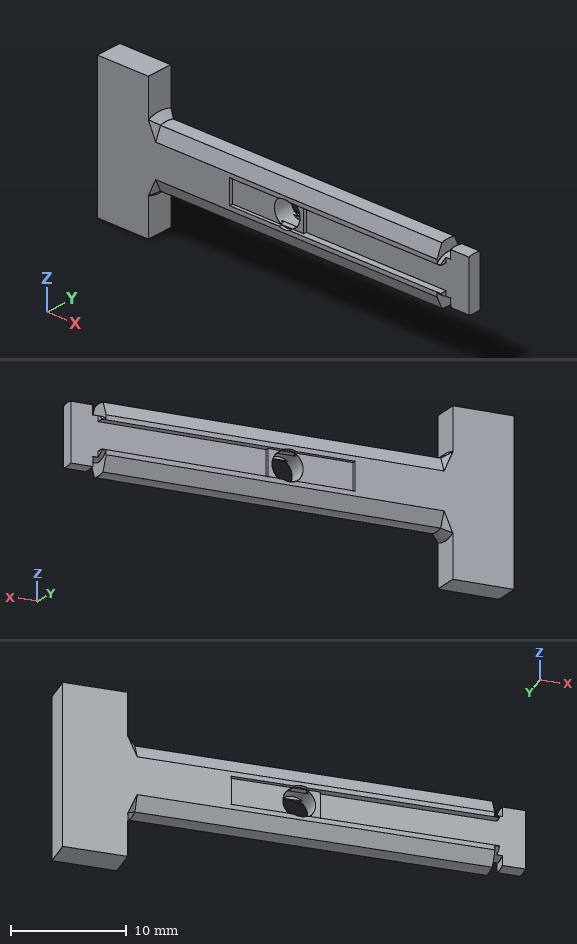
import cadquery as cq
import math

length = 42.55
thickness = 2.95
half_thickness = thickness / 2

plate_length = 5.95
plate_width = 15.9

shank_start = 6.8
shank_end = 39.5
shank_radius = 3.3
root_radius = 4.0
flat_half_width = 1.85
crown_half_thickness = 0.83

neck_radius = 2.05
neck_end = 39.95
head_start = 40.45
head_radius = 2.95
web_thickness = 1.5

groove_width = 2.72
shallow_groove_start = 15.4
shallow_groove_depth = 0.4
deep_groove_start = 23.65
deep_groove_depth = (thickness - web_thickness) / 2
hole_x = 21.75
hole_diameter = 3.0
lip_half_height = 1.2
lip_length = 0.35


def width_at(radius, y):
    """Half width of a round section at a given distance from its middle plane."""
    return math.sqrt(radius**2 - y**2)


def block(start, end, y_size, z_size):
    """Box from one X station to another, centred on the axis in Y and Z."""
    return (
        cq.Workplane("XY", origin=(start, 0, 0))
        .box(end - start, y_size, z_size, centered=(False, True, True))
    )


def flattened_cylinder(start, end, radius, y_size):
    """Cylinder about the X axis with flats on both Y sides."""
    cylinder = cq.Workplane("YZ", origin=(start, 0, 0)).circle(radius).extrude(end - start)
    return cylinder.intersect(block(start, end, y_size, 2 * radius))


def make_shank():
    crown_z = width_at(shank_radius, crown_half_thickness)
    return (
        cq.Workplane("YZ", origin=(shank_start, 0, 0))
        .moveTo(-half_thickness, -flat_half_width)
        .lineTo(-half_thickness, flat_half_width)
        .lineTo(-crown_half_thickness, crown_z)
        .threePointArc((0, shank_radius), (crown_half_thickness, crown_z))
        .lineTo(half_thickness, flat_half_width)
        .lineTo(half_thickness, -flat_half_width)
        .lineTo(crown_half_thickness, -crown_z)
        .threePointArc((0, -shank_radius), (-crown_half_thickness, -crown_z))
        .close()
        .extrude(shank_end - shank_start)
    )


def root_bevel(y_side, z_side):
    """Tetrahedron that tapers the shank bevel to a point at the plate."""
    root_z = width_at(root_radius, half_thickness)
    crown_z = width_at(shank_radius, crown_half_thickness)
    corners = [
        (plate_length, half_thickness, root_z),
        (shank_start, half_thickness, flat_half_width),
        (shank_start, crown_half_thickness, crown_z),
        (shank_start, half_thickness, root_z),
    ]
    points = [cq.Vector(x, y_side * y, z_side * z) for x, y, z in corners]
    faces = []
    for omitted in points:
        triangle = [point for point in points if point is not omitted]
        faces.append(cq.Face.makeFromWires(cq.Wire.makePolygon(triangle, close=True)))
    return cq.Workplane(cq.Solid.makeSolid(cq.Shell.makeShell(faces)).fix())


def make_root():
    cone = (
        cq.Workplane("XY")
        .moveTo(plate_length, 0)
        .lineTo(plate_length, root_radius)
        .lineTo(shank_start, shank_radius)
        .lineTo(shank_start, 0)
        .close()
        .revolve(360, (0, 0, 0), (1, 0, 0))
    )
    root = cone.intersect(block(plate_length, shank_start, thickness, plate_width))
    for y_side in (-1, 1):
        for z_side in (-1, 1):
            root = root.cut(root_bevel(y_side, z_side))
    return root


def groove(side, start, end, depth):
    return block(start, end, 2 * depth, groove_width).translate((0, side * half_thickness, 0))


def make_cross_hole():
    """Round hole with sloping lips across its top and bottom, just under each groove floor."""
    hole_radius = hole_diameter / 2
    floor_y = half_thickness - shallow_groove_depth
    cylinder = cq.Workplane("XZ").center(hole_x, 0).circle(hole_radius).extrude(half_thickness, both=True)
    lip_back_y = floor_y - lip_length
    upper_edge = [
        (-half_thickness, hole_radius),
        (-floor_y, hole_radius),
        (-floor_y, groove_width / 2),
        (-lip_back_y, lip_half_height),
        (-lip_back_y, hole_radius),
        (lip_back_y, hole_radius),
        (lip_back_y, lip_half_height),
        (floor_y, groove_width / 2),
        (floor_y, hole_radius),
        (half_thickness, hole_radius),
    ]
    lower_edge = [(y, -z) for y, z in reversed(upper_edge)]
    lipped_outline = (
        cq.Workplane("YZ", origin=(hole_x, 0, 0))
        .polyline(upper_edge + lower_edge)
        .close()
        .extrude(hole_radius, both=True)
    )
    return cylinder.intersect(lipped_outline)


result = block(0, plate_length, thickness, plate_width)
result = result.union(make_root())
result = result.union(make_shank())
result = result.union(flattened_cylinder(shank_end, neck_end, neck_radius, thickness))
result = result.union(flattened_cylinder(neck_end, head_start, neck_radius, web_thickness))
result = result.union(flattened_cylinder(head_start, length, head_radius, web_thickness))

for side in (-1, 1):
    result = result.cut(groove(side, shallow_groove_start, deep_groove_start, shallow_groove_depth))
    result = result.cut(groove(side, deep_groove_start, neck_end, deep_groove_depth))

result = result.cut(make_cross_hole())